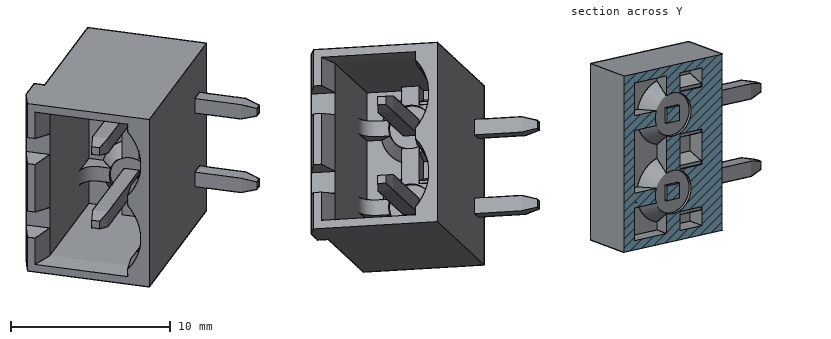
import cadquery as cq


body_left = 0.69
body_right = 8.5
body_depth = 12.0
body_height = 11.56
collar_depth = 3.0
collar_chamfer = 0.5
lead_in_depth = 1.31

contact_pitch = 5.08
contact_x = 4.6
contact_zs = [body_height / 2 - contact_pitch / 2, body_height / 2 + contact_pitch / 2]
pin_size = 1.0
pin_end_size = 0.52
pin_taper = 0.96
pin_front = 1.21
pin_leg_y = 10.02
pin_right = 12.5

mouth_left = 1.0
mouth_right = 7.08
mouth_margin = 0.52
cavity_left = 1.55
cavity_right = 6.86
cavity_margin = 0.64
cavity_top = body_height - cavity_margin
floor_depth = 8.5
scallop_x = 4.7
scallop_radius = 3.02
mouth_scallop_radius = 3.24

notch_front_width = 1.8
notch_back_width = 1.41

sunken_right = 4.04
sunken_depth = 1.0
cone_base_radius = 2.16
rib_width = pin_size
rib_fillet = 1.0

well_radius = 1.4
well_depth = 0.25

pocket_left = 5.15
pocket_width = 2.28
pocket_lip = 0.21
pocket_lip_depth = 0.12
pocket_slope_width = 0.38
pocket_slope_depth = 1.12


def box(x0, x1, y0, y1, z0, z1):
    return cq.Workplane("XY").box(x1 - x0, y1 - y0, z1 - z0, centered=False).translate((x0, y0, z0))


def rectangle_at_depth(y, x0, x1, z0, z1):
    corners = [(x0, y, z0), (x1, y, z0), (x1, y, z1), (x0, y, z1)]
    return cq.Wire.makePolygon([cq.Vector(*corner) for corner in corners], close=True)


def loft(front, back):
    return cq.Workplane(cq.Solid.makeLoft([front, back], True))


def cone(x, z, y0, radius0, y1, radius1):
    return cq.Workplane(cq.Solid.makeCone(radius0, radius1, y1 - y0, cq.Vector(x, y0, z), cq.Vector(0, 1, 0)))


def cylinder(x, z, y0, y1, radius):
    return cq.Workplane(cq.Solid.makeCylinder(radius, y1 - y0, cq.Vector(x, y0, z), cq.Vector(0, 1, 0)))


def housing():
    outline = [
        (collar_chamfer, 0),
        (body_right, 0),
        (body_right, body_depth),
        (body_left, body_depth),
        (body_left, collar_depth),
        (0, collar_depth),
        (0, lead_in_depth),
    ]
    return cq.Workplane("XY").polyline(outline).close().extrude(body_height)


def cavity():
    mouth = loft(
        rectangle_at_depth(0, mouth_left, mouth_right, mouth_margin, body_height - mouth_margin),
        rectangle_at_depth(lead_in_depth, cavity_left, cavity_right, cavity_margin, cavity_top),
    )
    void = mouth.union(box(cavity_left, cavity_right, lead_in_depth, floor_depth, cavity_margin, cavity_top))
    right_side = box(contact_x, body_right, 0, floor_depth, cavity_margin, cavity_top)
    for z in contact_zs:
        flare = cone(scallop_x, z, 0, mouth_scallop_radius, lead_in_depth, scallop_radius)
        scallop = flare.union(cylinder(scallop_x, z, lead_in_depth, floor_depth, scallop_radius))
        void = void.union(scallop.intersect(right_side))
    return void


def notch(z):
    front = notch_front_width / 2
    back = notch_back_width / 2
    return loft(
        rectangle_at_depth(0, 0, cavity_left, z - front, z + front),
        rectangle_at_depth(lead_in_depth, 0, cavity_left, z - back, z + back),
    )


def sunken_floor():
    bottom = floor_depth + sunken_depth
    void = box(cavity_left, sunken_right, floor_depth, bottom, cavity_margin, cavity_top)
    for z in contact_zs:
        void = void.cut(cone(contact_x, z, floor_depth, well_radius, bottom, cone_base_radius))
        rib = box(cavity_left, sunken_right, floor_depth, bottom, z - rib_width / 2, z + rib_width / 2)
        void = void.cut(rib)
    return void


def rib_corner(z):
    """Concave fillet where a rib meets the -X wall of the cavity."""
    return (
        cq.Workplane("XY", origin=(cavity_left, floor_depth, z - rib_width / 2))
        .lineTo(0, -rib_fillet)
        .radiusArc((rib_fillet, 0), rib_fillet)
        .close()
        .extrude(rib_width)
    )


def well(z):
    return cylinder(contact_x, z, floor_depth, floor_depth + well_depth, well_radius)


def pocket(z):
    """Pocket with a shallow lip and steep sloped sides, kept within the height of the cavity."""
    lip_y = floor_depth + pocket_lip_depth
    bottom_y = lip_y + pocket_slope_depth
    outer = pocket_width / 2
    inner = outer - pocket_lip
    bottom = inner - pocket_slope_width
    recess = box(pocket_left, cavity_right, floor_depth, lip_y, z - outer, z + outer)
    tapered = loft(
        rectangle_at_depth(lip_y, pocket_left, cavity_right, z - inner, z + inner),
        rectangle_at_depth(bottom_y, pocket_left, cavity_right, z - bottom, z + bottom),
    )
    within_cavity = box(pocket_left, cavity_right, floor_depth, bottom_y, cavity_margin, cavity_top)
    return recess.union(tapered).intersect(within_cavity)


def straight_pin(length):
    """Square pin from the origin along +Z, tapered at its far end."""
    shaft = cq.Workplane("XY").rect(pin_size, pin_size).extrude(length - pin_taper)
    tip = (
        cq.Workplane("XY", origin=(0, 0, length - pin_taper))
        .rect(pin_size, pin_size)
        .workplane(offset=pin_taper)
        .rect(pin_end_size, pin_end_size)
        .loft()
    )
    return shaft.union(tip)


def contact(z):
    half = pin_size / 2
    bend_y = pin_leg_y + half
    bend_x = contact_x - half
    plug_pin = straight_pin(bend_y - pin_front).rotate((0, 0, 0), (1, 0, 0), 90)
    leg = straight_pin(pin_right - bend_x).rotate((0, 0, 0), (0, 1, 0), 90)
    return plug_pin.translate((contact_x, bend_y, z)).union(leg.translate((bend_x, pin_leg_y, z)))


result = housing().cut(cavity()).cut(sunken_floor())

pocket_zs = [contact_zs[0] - contact_pitch / 2] + [z + contact_pitch / 2 for z in contact_zs]
for z in pocket_zs:
    result = result.cut(pocket(z))

for z in contact_zs:
    result = result.cut(notch(z)).cut(well(z))
    result = result.union(rib_corner(z)).union(contact(z))